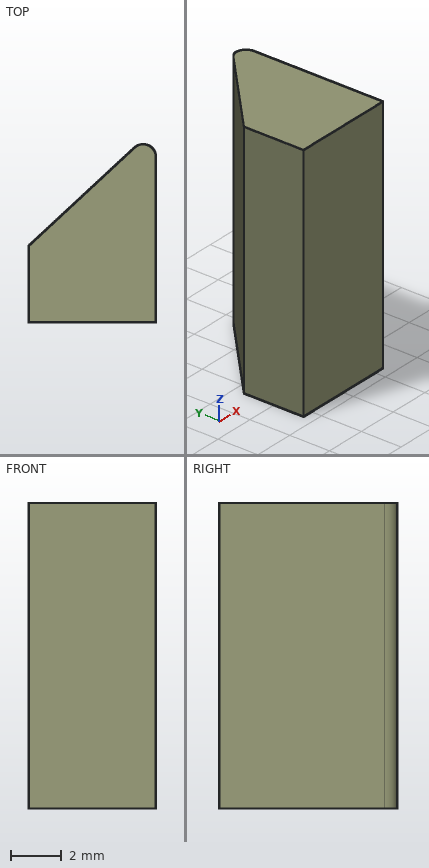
import cadquery as cq
import math

width = 5.0
depth = 7.0
height = 12.0
short_side = 3.0
tip_radius = 0.5

tip_x = width - tip_radius
tip_y = depth - tip_radius

rise = tip_y - short_side
center_distance = math.hypot(tip_x, rise)
slope_angle = math.atan2(rise, tip_x) + math.asin(tip_radius / center_distance)


def tip_point(angle):
    """Point on the tip arc at the given angle from +X."""
    return (
        tip_x + tip_radius * math.cos(angle),
        tip_y + tip_radius * math.sin(angle),
    )


slope_tangent_angle = slope_angle + math.pi / 2
slope_end = tip_point(slope_tangent_angle)
arc_middle = tip_point(slope_tangent_angle / 2)
wall_end = tip_point(0)

result = (
    cq.Workplane("XY")
    .moveTo(0, 0)
    .lineTo(width, 0)
    .lineTo(*wall_end)
    .threePointArc(arc_middle, slope_end)
    .lineTo(0, short_side)
    .close()
    .extrude(height)
)